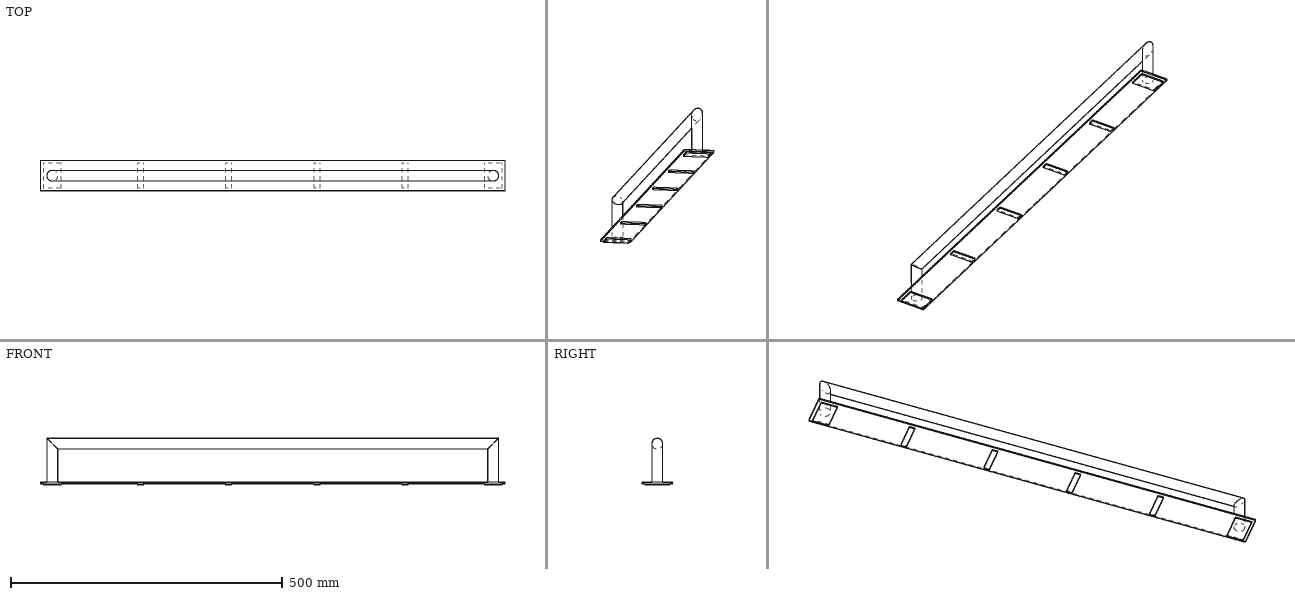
import cadquery as cq

plate_length = 856.8
plate_width = 56.0
plate_thickness = 3.0
plate_corner_radius = 1.0

pad_thickness = 2.6
pad_width = 46.0
end_pad_length = 32.0
middle_pad_length = 11.0
pad_count = 6

overall_height = 86.6
tube_diameter = 20.0
post_end_margin = 22.0

tube_radius = tube_diameter / 2
post_spacing = plate_length - 2 * post_end_margin
post_x = post_spacing / 2
plate_top_z = pad_thickness + plate_thickness
bar_axis_z = overall_height - tube_radius


def make_plate():
    """Flat rectangular plate resting on the pads."""
    return (
        cq.Workplane("XY")
        .workplane(offset=pad_thickness)
        .rect(plate_length, plate_width)
        .extrude(plate_thickness)
        .edges("|Z")
        .fillet(plate_corner_radius)
    )


def make_pad(index):
    """One rectangular pad below the plate, counted from the -X end."""
    is_end_pad = index in (0, pad_count - 1)
    length = end_pad_length if is_end_pad else middle_pad_length
    pitch = post_spacing / (pad_count - 1)
    return (
        cq.Workplane("XY")
        .center(index * pitch - post_x, 0)
        .rect(length, pad_width)
        .extrude(pad_thickness)
    )


def make_handle():
    """Round section swept up one post, along the bar and down the other post."""
    path = (
        cq.Workplane("XZ")
        .moveTo(-post_x, plate_top_z)
        .lineTo(-post_x, bar_axis_z)
        .lineTo(post_x, bar_axis_z)
        .lineTo(post_x, plate_top_z)
    )
    return (
        cq.Workplane("XY", origin=(-post_x, 0, plate_top_z))
        .circle(tube_radius)
        .sweep(path, transition="right")
    )


result = make_plate().union(make_handle())
for pad_index in range(pad_count):
    result = result.union(make_pad(pad_index))